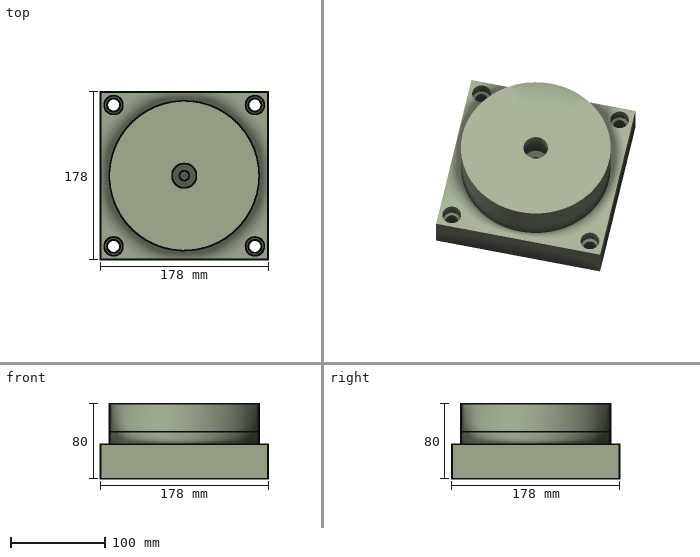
import cadquery as cq

base_side = 178.0
base_height = 37.0

screw_spacing = 150.0
screw_hole_diameter = 13.5
counterbore_diameter = 20.0
counterbore_depth = 13.0

disc_diameter = 159.0
lower_disc_height = 13.0
upper_disc_height = 30.0

lower_bore_diameter = 10.5
upper_bore_diameter = 26.0


def make_base():
    """Square plate standing on Z = 0 with a counterbored screw hole in each corner."""
    plate = cq.Workplane("XY").rect(base_side, base_side).extrude(base_height)
    return (
        plate.faces(">Z")
        .workplane()
        .rect(screw_spacing, screw_spacing, forConstruction=True)
        .vertices()
        .cboreHole(screw_hole_diameter, counterbore_diameter, counterbore_depth)
    )


def make_disc(bottom_z, height, bore_diameter):
    """Round disc with a central through bore."""
    return (
        cq.Workplane("XY")
        .workplane(offset=bottom_z)
        .circle(disc_diameter / 2)
        .circle(bore_diameter / 2)
        .extrude(height)
    )


base = make_base()

lower_disc = make_disc(base_height, lower_disc_height, lower_bore_diameter)

upper_disc = make_disc(base_height + lower_disc_height, upper_disc_height, upper_bore_diameter)

result = cq.Compound.makeCompound([base.val(), lower_disc.val(), upper_disc.val()])